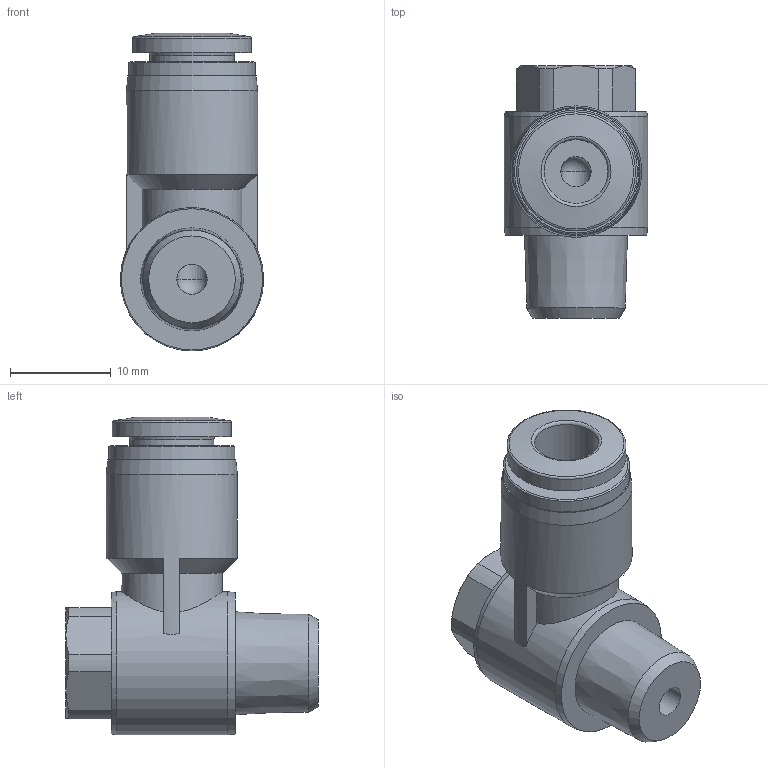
import cadquery as cq
import math


drum_radius = 14.2 / 2
drum_end_radius = 14.0 / 2
drum_back_y = 6.0
drum_front_y = -6.3
drum_back_taper = 0.5
drum_front_taper = 0.8

thread_taper = 1 / 16
stud_base_radius = 10.2 / 2
stud_tip_y = -14.5
stud_chamfer_length = 1.0
stud_chamfer_angle = 30

hex_across_flats = 11.0
hex_corner_radius = 11.86 / 2
hex_end_y = 10.5
hex_chamfer_length = 0.3

neck_radius = 10.0 / 2
body_radius = 13.0 / 2
collar_radius = 12.5 / 2
neck_top_z = 8.9
body_bottom_z = neck_top_z + (body_radius - neck_radius)
body_top_z = 18.7
collar_bottom_z = 20.15
collar_step = 0.1
collar_top_z = 21.55
collar_bevel_height = 0.1
collar_bevel_width = 0.15

sleeve_neck_radius = 8.35 / 2
sleeve_root_radius = 8.5 / 2
sleeve_root_z = 22.15
flange_radius = 11.8 / 2
flange_bottom_z = 22.45
flange_rim_z = 23.85
flange_round = 0.2
sleeve_top_z = 24.4

tube_radius = 6.35 / 2
tube_mouth_round = 0.3
tube_stop_z = body_bottom_z
bore_radius = 3.0 / 2

rib_thickness = 1.6


def revolve_about_z(points):
    """Revolve a closed (radius, z) outline about the Z axis."""
    return cq.Workplane("XZ").polyline(points).close().revolve(360, (0, 0), (0, 1))


def revolve_about_y(points):
    """Revolve a closed (radius, y) outline about the Y axis."""
    return cq.Workplane("XY").polyline(points).close().revolve(360, (0, 0), (0, 1))


def make_drum():
    return revolve_about_y([
        (0, drum_front_y),
        (drum_end_radius, drum_front_y),
        (drum_radius, drum_front_y + drum_front_taper),
        (drum_radius, drum_back_y - drum_back_taper),
        (drum_end_radius, drum_back_y),
        (0, drum_back_y),
    ])


def make_stud():
    chamfer_y = stud_tip_y + stud_chamfer_length
    chamfer_radius = stud_base_radius - (drum_front_y - chamfer_y) * thread_taper / 2
    tip_radius = chamfer_radius - stud_chamfer_length * math.tan(math.radians(stud_chamfer_angle))
    return revolve_about_y([
        (0, stud_tip_y),
        (tip_radius, stud_tip_y),
        (chamfer_radius, chamfer_y),
        (stud_base_radius, drum_front_y),
        (0, drum_front_y),
    ])


def make_hex_head():
    across_corners = hex_across_flats / math.cos(math.pi / 6)
    prism = (
        cq.Workplane("XZ", origin=(0, hex_end_y, 0))
        .polygon(6, across_corners)
        .extrude(hex_end_y - drum_back_y)
    )
    face_radius = hex_across_flats / 2
    envelope = revolve_about_y([
        (0, drum_back_y),
        (hex_corner_radius, drum_back_y),
        (hex_corner_radius, hex_end_y - hex_chamfer_length),
        (face_radius, hex_end_y),
        (0, hex_end_y),
    ])
    return prism.intersect(envelope)


def make_socket_body():
    return revolve_about_z([
        (0, 0),
        (neck_radius, 0),
        (neck_radius, neck_top_z),
        (body_radius, body_bottom_z),
        (body_radius, body_top_z),
        (collar_radius + collar_step, collar_bottom_z),
        (collar_radius, collar_bottom_z),
        (collar_radius, collar_top_z - collar_bevel_height),
        (collar_radius - collar_bevel_width, collar_top_z),
        (0, collar_top_z),
    ])


def make_release_sleeve():
    mouth_radius = tube_radius + tube_mouth_round
    diagonal = flange_round * math.sin(math.pi / 4)
    round_center_r = flange_radius - flange_round
    return (
        cq.Workplane("XZ")
        .moveTo(0, collar_top_z)
        .lineTo(sleeve_neck_radius, collar_top_z)
        .lineTo(sleeve_neck_radius, sleeve_root_z)
        .lineTo(sleeve_root_radius, flange_bottom_z)
        .lineTo(flange_radius, flange_bottom_z)
        .lineTo(flange_radius, flange_rim_z)
        .threePointArc(
            (round_center_r + diagonal, flange_rim_z + diagonal),
            (round_center_r, flange_rim_z + flange_round),
        )
        .lineTo(mouth_radius, sleeve_top_z)
        .lineTo(0, sleeve_top_z)
        .close()
        .revolve(360, (0, 0), (0, 1))
    )


def make_ribs():
    """One plate across the axis forms both ribs; their outer faces continue the body's round."""
    plate = cq.Workplane("XY").rect(2 * body_radius, rib_thickness).extrude(body_bottom_z)
    return plate.intersect(cq.Workplane("XY").circle(body_radius).extrude(body_bottom_z))


def make_tube_hole():
    """Blind hole for the tube, flared by a quarter round at its mouth."""
    round_center_r = tube_radius + tube_mouth_round
    round_center_z = sleeve_top_z - tube_mouth_round
    diagonal = tube_mouth_round * math.sin(math.pi / 4)
    return (
        cq.Workplane("XZ")
        .moveTo(0, tube_stop_z)
        .lineTo(tube_radius, tube_stop_z)
        .lineTo(tube_radius, round_center_z)
        .threePointArc(
            (round_center_r - diagonal, round_center_z + diagonal),
            (round_center_r, sleeve_top_z),
        )
        .lineTo(0, sleeve_top_z)
        .close()
        .revolve(360, (0, 0), (0, 1))
    )


def make_elbow_bore():
    """Two equal bores meeting in a ball-shaped corner at the origin."""
    upright = cq.Workplane("XY").circle(bore_radius).extrude(tube_stop_z)
    lying = cq.Workplane("XZ").circle(bore_radius).extrude(-stud_tip_y)
    return upright.union(lying).union(cq.Workplane("XY").sphere(bore_radius))


result = (
    make_drum()
    .union(make_stud())
    .union(make_hex_head())
    .union(make_socket_body())
    .union(make_release_sleeve())
    .union(make_ribs())
    .cut(make_tube_hole())
    .cut(make_elbow_bore())
)